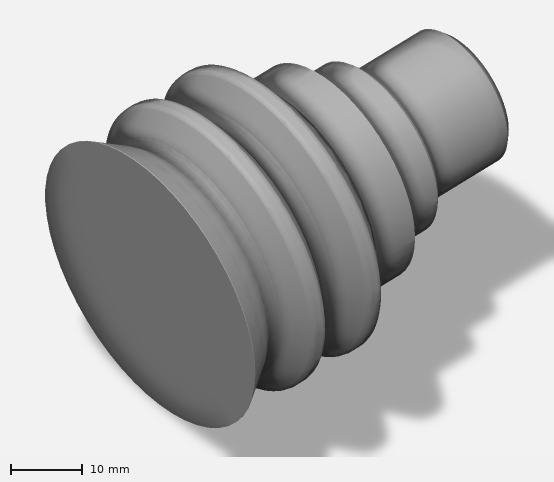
import cadquery as cq


shaft_radius = 21.1 / 2
hub_radius = 27.0 / 2
collar_radius = 34.0 / 2
overall_length = 57.5
hub_top = 41.6
collar_top = 34.0
collar_bottom = 26.95
shaft_chamfer = 1.15
hub_chamfer = 0.5

rim_radius = 45.2 / 2
rim_width = 2.1
upper_rim_y = 22.0
lower_rim_y = 11.85
upper_groove_radius = 16.75
lower_groove_radius = 17.7
lower_groove_y = 7.25
lip_thickness = 0.1
rim_fillet = 0.9
groove_fillet = 1.45

upper_groove_y = (upper_rim_y + lower_rim_y) / 2
half_rim = rim_width / 2


def rim_points(center_y):
    """Return the lower and upper outer corners of a bellows rim."""
    return [(rim_radius, center_y - half_rim), (rim_radius, center_y + half_rim)]


def circles_at(*points):
    """Return the circular edges swept by the given (radius, y) profile corners."""
    tolerance = 0.005

    def is_match(edge):
        if edge.geomType() != "CIRCLE":
            return False
        return any(
            abs(edge.radius() - radius) < tolerance and abs(edge.Center().y - y) < tolerance
            for radius, y in points
        )

    return [edge for edge in body.edges().vals() if is_match(edge)]


upper_groove = (upper_groove_radius, upper_groove_y)
lower_groove = (lower_groove_radius, lower_groove_y)
rim_corners = rim_points(lower_rim_y) + rim_points(upper_rim_y)

profile = [
    (0, 0),
    (rim_radius, 0),
    (rim_radius, lip_thickness),
    lower_groove,
    *rim_points(lower_rim_y),
    upper_groove,
    *rim_points(upper_rim_y),
    (collar_radius, collar_bottom),
    (collar_radius, collar_top),
    (hub_radius, collar_top),
    (hub_radius, hub_top - hub_chamfer),
    (hub_radius - hub_chamfer, hub_top),
    (shaft_radius, hub_top),
    (shaft_radius, overall_length - shaft_chamfer),
    (shaft_radius - shaft_chamfer, overall_length),
    (0, overall_length),
]
body = cq.Workplane("XY").polyline(profile).close().revolve(360, (0, 0, 0), (0, 1, 0))

body = body.newObject(circles_at(*rim_corners)).fillet(rim_fillet)
body = body.newObject(circles_at(upper_groove, lower_groove)).fillet(groove_fillet)

result = body